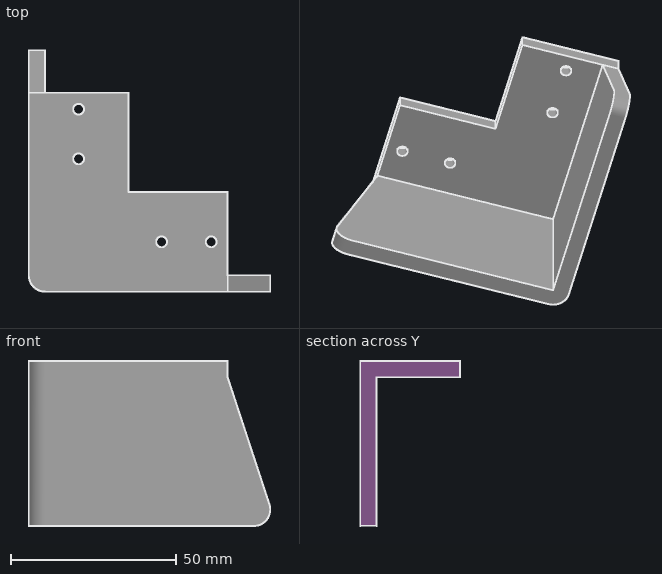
import cadquery as cq
import math

overall_length = 73.09
overall_height = 50.0
thickness = 5.0
plate_width = 30.2
leg_length = 30.0
plate_length = plate_width + leg_length
corner_radius = 5.0
toe_radius = 5.0

hole_diameter = 3.2
hole_inset = plate_width / 2
hole_offsets = (10.0, 25.0)

wall_height = overall_height - thickness


def make_plate():
    """L-shaped top plate, before its corner is rounded and its holes drilled."""
    outline = [
        (0, 0),
        (plate_length, 0),
        (plate_length, plate_width),
        (plate_width, plate_width),
        (plate_width, plate_length),
        (0, plate_length),
    ]
    return cq.Workplane("XY").workplane(offset=wall_height).polyline(outline).close().extrude(thickness)


def make_wall():
    """Wall along X whose sloping end runs from the plate edge tangent to the round toe."""
    toe_x = overall_length - toe_radius
    toe_z = toe_radius

    run = plate_length - toe_x
    rise = wall_height - toe_z
    direction_to_top = math.atan2(rise, run)
    tangent_angle = direction_to_top - math.acos(toe_radius / math.hypot(run, rise))
    middle_angle = (tangent_angle - math.pi / 2) / 2

    def toe_point(angle):
        return (toe_x + toe_radius * math.cos(angle), toe_z + toe_radius * math.sin(angle))

    return (
        cq.Workplane("XZ")
        .moveTo(0, 0)
        .lineTo(toe_x, 0)
        .threePointArc(toe_point(middle_angle), toe_point(tangent_angle))
        .lineTo(plate_length, wall_height)
        .lineTo(0, wall_height)
        .close()
        .extrude(-thickness)
    )


def mirror_across_diagonal(body):
    """Swap X and Y: turn a leg along X into the matching leg along Y."""
    return body.mirror("XZ").rotate((0, 0, 0), (0, 0, 1), 90)


def round_outer_corner(body):
    """Round the full-height vertical edge at the outer corner."""
    corner_edge = cq.selectors.NearestToPointSelector((0, 0, overall_height / 2))
    return body.edges("|Z").edges(corner_edge).fillet(corner_radius)


def make_holes():
    """Screw holes through the plate, two on each leg."""
    along_x = [(plate_width + offset, hole_inset) for offset in hole_offsets]
    along_y = [(hole_inset, plate_width + offset) for offset in hole_offsets]
    return (
        cq.Workplane("XY")
        .workplane(offset=wall_height)
        .pushPoints(along_x + along_y)
        .circle(hole_diameter / 2)
        .extrude(thickness)
    )


wall_x = make_wall()
wall_y = mirror_across_diagonal(wall_x)
body = make_plate().union(wall_x).union(wall_y).clean()
result = round_outer_corner(body).cut(make_holes())